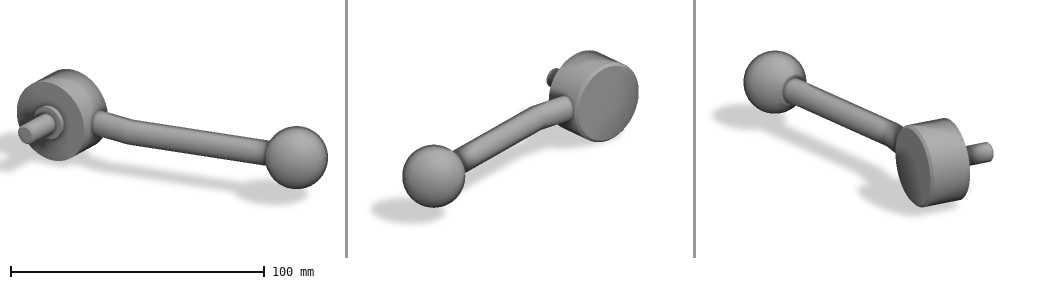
import cadquery as cq
import math

hub_diameter = 33.0
hub_length = 17.0
hub_chamfer = 1.0

collar_diameter = 13.5
collar_length = 2.0
pin_diameter = 8.0
stud_length = 17.0
pin_chamfer = 0.8

lever_diameter = 10.0
lever_y = 10.0
bend_start_x = 30.9
bend_radius = lever_diameter / 2 + 0.06
bend_angle = 15.0
overall_length = 128.5
ball_diameter = 25.0
ball_flat_diameter = 13.0

ball_radius = ball_diameter / 2
ball_x = overall_length - hub_diameter / 2 - ball_radius
bend_angle_rad = math.radians(bend_angle)
lever_direction = cq.Vector(math.cos(bend_angle_rad), math.sin(bend_angle_rad), 0)

bend_end = cq.Vector(
    bend_start_x + bend_radius * math.sin(bend_angle_rad),
    lever_y + bend_radius * (1 - math.cos(bend_angle_rad)),
    0,
)
arm_length = (ball_x - bend_end.x) / math.cos(bend_angle_rad)
ball_center = bend_end + lever_direction * arm_length


def cylinder_forward(diameter, back_y, length):
    """Cylinder on the Y axis running toward -Y from back_y."""
    plane = cq.Workplane("XZ", origin=(0, back_y, 0))
    return plane.circle(diameter / 2).extrude(length)


def make_hub():
    hub = cylinder_forward(hub_diameter, hub_length, hub_length)
    return hub.faces(">Y").edges().chamfer(hub_chamfer)


def make_stud():
    collar = cylinder_forward(collar_diameter, 0, collar_length)
    pin = cylinder_forward(pin_diameter, 0, stud_length)
    pin = pin.faces("<Y").edges().chamfer(pin_chamfer)
    return collar.union(pin)


def make_lever():
    root = cq.Workplane("YZ", origin=(0, lever_y, 0)).circle(lever_diameter / 2).extrude(bend_start_x)
    bend = (
        cq.Workplane("YZ", origin=(bend_start_x, lever_y, 0))
        .circle(lever_diameter / 2)
        .revolve(bend_angle, (bend_radius, 0, 0), (bend_radius, 1, 0))
    )
    arm_plane = cq.Plane(origin=bend_end, xDir=(0, 0, 1), normal=lever_direction)
    arm = cq.Workplane(arm_plane).circle(lever_diameter / 2).extrude(arm_length)
    return root.union(bend).union(arm)


def make_ball():
    """Ball with a flat facing back along the lever."""
    flat_distance = math.sqrt(ball_radius**2 - (ball_flat_diameter / 2) ** 2)
    ball = cq.Workplane("XY", origin=ball_center.toTuple()).sphere(ball_radius)
    flat_plane = cq.Plane(
        origin=ball_center - lever_direction * flat_distance, xDir=(0, 0, 1), normal=lever_direction * -1
    )
    return ball.cut(cq.Workplane(flat_plane).circle(ball_radius).extrude(ball_radius))


result = make_hub().union(make_stud()).union(make_lever()).union(make_ball())